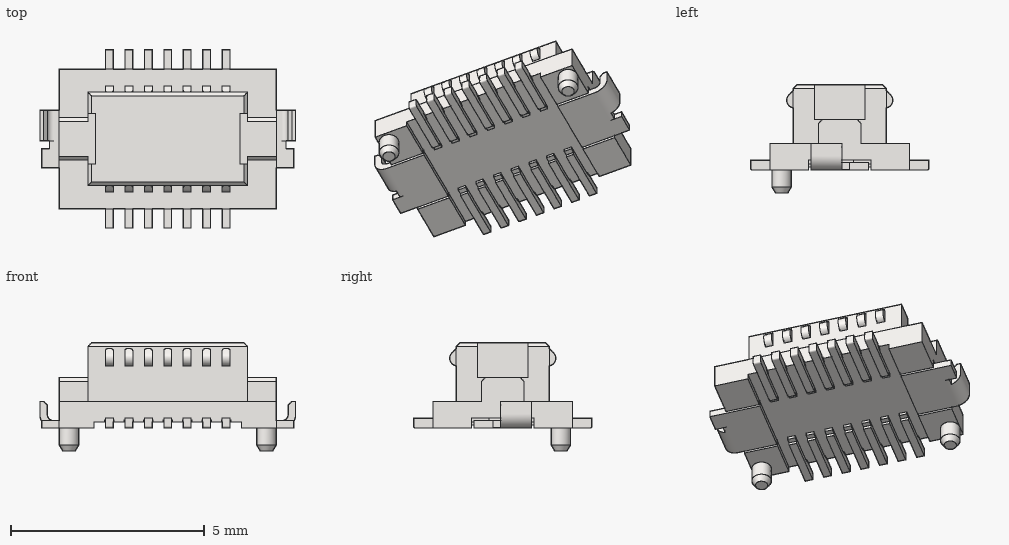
import cadquery as cq
import math

overall_x = 6.6
overall_y = 4.6

base_x = 5.6
base_y = 3.605
base_height = 0.69
tower_x = 4.12
tower_y = 2.41
tower_height = 2.205
step_y = 1.095
step_height = 1.31
edge_chamfer = 0.1
end_recess_y = 1.3
end_recess_depth = 0.2

lead_channel_x = 3.8
lead_channel_height = 0.16
bracket_channel_y = 1.61
bracket_channel_height = 0.26

contact_count = 7
contact_pitch = 0.5
contact_width = 0.205
lead_height = 0.26
lead_tip_radius = 0.05
lead_tail_bottom = 0.08
lead_tail_end = 0.725
lead_foot_start = 0.86
lead_relief_side = 0.02
lead_relief_height = 0.045
lead_relief_depth = 0.13
bump_radius = 0.2
bump_axis_z = 1.8
bump_axis_inset = 0.03
bump_corner_radius = 0.05

sheet = 0.2
bend_radius = 0.15
bracket_y = 1.49
hook_height = base_height
tab_end_x = 3.255
slit_end_x = 3.05
slit_y_top = -0.05
slit_y_bottom = -0.25
riser_y = 0.7
riser_height = 0.395

peg_diameter = 0.51
peg_tip_diameter = 0.32
peg_length = 0.595
peg_tip_length = 0.16
peg_x = (base_x - peg_diameter) / 2
peg_y = 1.5

contact_places = [
    (i - (contact_count - 1) / 2) * contact_pitch for i in range(contact_count)
]


def block(size_x, size_y, z_low, z_high):
    """Box centred on the Z axis between two heights."""
    return cq.Workplane("XY").workplane(offset=z_low).rect(size_x, size_y).extrude(z_high - z_low)


def box_between(x_range, y_range, z_range):
    """Box spanning the given ranges."""
    size = [high - low for low, high in (x_range, y_range, z_range)]
    corner = (x_range[0], y_range[0], z_range[0])
    return cq.Workplane("XY").box(*size, centered=False).translate(corner)


def across_x(profile, width):
    """Extrude a YZ profile by a width centred on X = 0."""
    return profile.extrude(width / 2, both=True)


def make_housing():
    tower = block(tower_x, tower_y, 0, tower_height).faces(">Z").chamfer(edge_chamfer)
    for side in (-1, 1):
        recess = block(2 * end_recess_depth, end_recess_y, step_height, tower_height)
        tower = tower.cut(recess.translate((side * tower_x / 2, 0, 0)))

    steps = block(base_x, step_y, 0, step_height).faces(">Z").edges("|X").chamfer(edge_chamfer)
    housing = block(base_x, base_y, 0, base_height).union(tower).union(steps)

    lead_channel = block(lead_channel_x, base_y, 0, lead_channel_height)
    housing = housing.cut(lead_channel)
    for side in (-1, 1):
        near_x, far_x = sorted((side * lead_channel_x / 2, side * base_x / 2))
        half_y = bracket_channel_y / 2
        housing = housing.cut(
            box_between((near_x, far_x), (-half_y, half_y), (0, bracket_channel_height))
        )
    return housing


def make_lead():
    """Lead on the +Y side: flat foot outside, shallower tail under the base."""
    foot = box_between(
        (-contact_width / 2, contact_width / 2), (lead_foot_start, overall_y / 2), (0, lead_height)
    )
    foot = foot.faces(">Y").edges("<Z").fillet(lead_tip_radius)
    tail = box_between(
        (-contact_width / 2, contact_width / 2),
        (lead_tail_end, lead_foot_start),
        (lead_tail_bottom, lead_height),
    )
    return foot.union(tail)


def make_lead_relief():
    """Sloped clearance in the +Y base wall beside a lead."""
    wall_y = base_y / 2
    profile = cq.Workplane("YZ").polyline([
        (wall_y, lead_channel_height),
        (wall_y, lead_channel_height + lead_relief_height),
        (wall_y - lead_relief_depth, lead_channel_height),
    ]).close()
    return across_x(profile, contact_width + 2 * lead_relief_side)


def make_bump():
    """Contact bump on the +Y tower wall: a 45 degree lead-in tangent to a round nose."""
    wall_y = tower_y / 2
    axis_y = wall_y - bump_axis_inset
    diagonal = bump_radius * math.sqrt(0.5)
    top_z = bump_axis_z + 2 * diagonal - bump_axis_inset
    bottom_z = bump_axis_z - math.sqrt(bump_radius**2 - bump_axis_inset**2)

    profile = (
        cq.Workplane("YZ")
        .moveTo(wall_y, top_z)
        .lineTo(axis_y + diagonal, bump_axis_z + diagonal)
        .threePointArc((axis_y + bump_radius, bump_axis_z), (wall_y, bottom_z))
        .close()
    )
    rounded_front = box_between(
        (-contact_width / 2, contact_width / 2),
        (wall_y, wall_y + bump_radius),
        (bottom_z, top_z),
    ).faces(">Z").edges("|Y").fillet(bump_corner_radius)
    return across_x(profile, contact_width).intersect(rounded_front)


def make_bracket():
    """Solder bracket at the +X end: flat plate, upturned hook, slit and inner riser."""
    half_y = bracket_y / 2
    inner_x = lead_channel_x / 2
    outer_x = overall_x / 2
    outer_radius = bend_radius + sheet
    arc_offset = math.sqrt(0.5)

    bend_x = outer_x - outer_radius
    bend_z = outer_radius
    plate = box_between((inner_x, bend_x), (-half_y, half_y), (0, sheet))
    tab = box_between((bend_x, tab_end_x), (-half_y, slit_y_bottom), (0, sheet))

    hook_blank = (
        cq.Workplane("XZ")
        .moveTo(inner_x, 0)
        .lineTo(bend_x, 0)
        .threePointArc(
            (bend_x + outer_radius * arc_offset, bend_z - outer_radius * arc_offset),
            (outer_x, bend_z),
        )
        .lineTo(outer_x, hook_height)
        .lineTo(outer_x - sheet + edge_chamfer, hook_height)
        .lineTo(outer_x - sheet, hook_height - edge_chamfer)
        .lineTo(outer_x - sheet, bend_z)
        .threePointArc(
            (bend_x + bend_radius * arc_offset, bend_z - bend_radius * arc_offset),
            (bend_x, sheet),
        )
        .lineTo(inner_x, sheet)
        .close()
        .extrude(-(half_y - slit_y_bottom))
        .translate((0, slit_y_bottom, 0))
    )
    slit_y = (slit_y_bottom, slit_y_top)
    neck = hook_blank.intersect(box_between((inner_x, slit_end_x), slit_y, (0, sheet)))
    hook = hook_blank.cut(box_between((inner_x, outer_x), slit_y, (0, hook_height)))

    riser_bend_x = inner_x + bend_radius
    riser = (
        cq.Workplane("XZ")
        .moveTo(inner_x - sheet, sheet)
        .lineTo(riser_bend_x, sheet)
        .threePointArc(
            (riser_bend_x - bend_radius * arc_offset, bend_z - bend_radius * arc_offset),
            (inner_x, bend_z),
        )
        .lineTo(inner_x, riser_height)
        .lineTo(inner_x - sheet, riser_height)
        .close()
        .extrude(riser_y / 2, both=True)
    )
    return plate.union(tab).union(neck).union(hook).union(riser)


def make_peg():
    """Locating peg below the base with a tapered tip."""
    return (
        cq.Workplane("XZ")
        .polyline([
            (0, 0),
            (peg_diameter / 2, 0),
            (peg_diameter / 2, peg_tip_length - peg_length),
            (peg_tip_diameter / 2, -peg_length),
            (0, -peg_length),
        ])
        .close()
        .revolve(360, (0, 0, 0), (0, 1, 0))
    )


result = make_housing()

for x in contact_places:
    relief = make_lead_relief().translate((x, 0, 0))
    contact = make_lead().union(make_bump()).translate((x, 0, 0))
    result = result.cut(relief).cut(relief.mirror("XZ"))
    result = result.union(contact).union(contact.mirror("XZ"))

bracket = make_bracket()
peg = make_peg().translate((peg_x, peg_y, 0))
for end_part in (bracket, peg):
    result = result.union(end_part).union(end_part.mirror("YZ"))